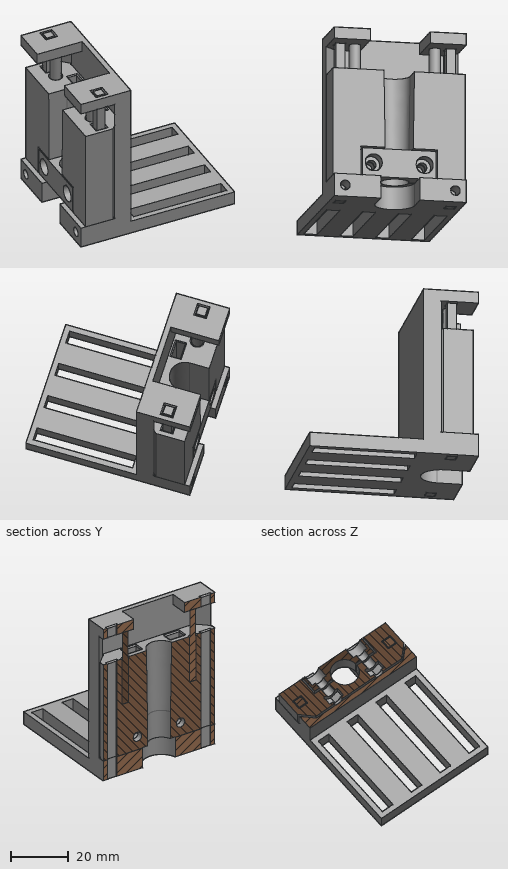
import cadquery as cq
import math

gap = 0.5

width = 46.75
depth = 59.35
height = 60.0
half_width = width / 2
plate_thickness = 5.0
ledge_height = 8.0
arm_thickness = 4.0
arm_underside = height - arm_thickness
arm_width = 12.8
wall_back = 19.3
wall_edge_front = 13.0
channel_floor = 17.35
channel_depth = channel_floor - wall_edge_front
ledge_slot_radius = 6.95

slot_count = 4
slot_width = 4.6
slot_margin = 2.05
slot_pitch = (width - 2 * slot_margin - slot_width) / (slot_count - 1)

carriage_front = 1.85
carriage_back = channel_floor - gap
carriage_side_back = wall_edge_front - gap * math.sqrt(2)
carriage_top = 45.95
tool_y = 8.95
tool_radius = 5.0
tool_top_radius = 5.4

clamp_half_width = 12.95
clamp_top = 18.0
clamp_gap = 0.6
pocket_top = clamp_top + clamp_gap
pocket_back = tool_y + clamp_gap / 2
clamp_back = pocket_back - clamp_gap
screw_x = 9.0
screw_z = ledge_height + 5.05
screw_diameter = 3.35
screw_head_diameter = 6.0
screw_head_depth = 4.2

nut_y = 14.15
nut_thickness = 3.2
nut_width = 5.9
nut_mouth_growth = 0.3

guide_y = 8.9
rod_x = 19.55
rod_size = 3.2
rod_hole_size = rod_size + gap
pin_x = 14.15
pin_diameter = 4.0
pin_socket_depth = 18.0
pin_bottom = carriage_top - pin_socket_depth
mouth_flare = 0.45

set_screw_x = 19.5
set_screw_z = 4.0
set_screw_diameter = 3.35

sides = (-1, 1)


def block(x_min, x_max, y_min, y_max, z_min, z_max):
    """Axis-aligned box between two corners."""
    size = (x_max - x_min, y_max - y_min, z_max - z_min)
    return cq.Workplane("XY").box(*size, centered=False).translate((x_min, y_min, z_min))


def upright_cylinder(x, y, diameter, z_min, z_max):
    return cq.Workplane("XY", origin=(x, y, z_min)).circle(diameter / 2).extrude(z_max - z_min)


def hole_along_y(x, z, diameter, y_min, y_max):
    """Cylinder whose axis runs along +Y."""
    plane = cq.Plane(origin=(x, y_min, z), xDir=(1, 0, 0), normal=(0, 1, 0))
    return cq.Workplane(plane).circle(diameter / 2).extrude(y_max - y_min)


def square_rod(x, size, z_min, z_max):
    return cq.Workplane("XY", origin=(x, guide_y, z_min)).rect(size, size).extrude(z_max - z_min)


def rectangular_mouth(x, y, lower_size, upper_size, z_top):
    """Flared opening that widens up to the face at z_top."""
    return (
        cq.Workplane("XY", origin=(x, y, z_top - mouth_flare))
        .rect(*lower_size)
        .workplane(offset=mouth_flare)
        .rect(*upper_size)
        .loft()
    )


def rod_hole(x, z_top):
    """Square through hole with a flared mouth at the top."""
    mouth_size = rod_hole_size + 2 * mouth_flare
    hole = square_rod(x, rod_hole_size, 0, z_top)
    mouth = rectangular_mouth(
        x, guide_y, (rod_hole_size, rod_hole_size), (mouth_size, mouth_size), z_top
    )
    return hole.union(mouth)


def pin_socket(x):
    """Close-fitting blind round hole in the carriage with a flared mouth at the top."""
    hole = upright_cylinder(x, guide_y, pin_diameter, pin_bottom, carriage_top)
    radius = pin_diameter / 2
    mouth = cq.Solid.makeCone(
        radius, radius + mouth_flare, mouth_flare, cq.Vector(x, guide_y, carriage_top - mouth_flare)
    )
    return hole.union(cq.Workplane(mouth))


def make_frame():
    frame = block(-half_width, half_width, 0, depth, 0, plate_thickness)
    frame = frame.union(block(-half_width, half_width, 0, wall_back, 0, ledge_height))

    floor_half_width = half_width - channel_depth
    wall_outline = [
        (-half_width, wall_back),
        (-half_width, wall_edge_front),
        (-floor_half_width, channel_floor),
        (floor_half_width, channel_floor),
        (half_width, wall_edge_front),
        (half_width, wall_back),
    ]
    frame = frame.union(cq.Workplane("XY").polyline(wall_outline).close().extrude(height))

    arm_inner_x = half_width - arm_width
    arm = block(arm_inner_x, half_width, 0, wall_back, arm_underside, height)
    frame = frame.union(arm).union(arm.mirror("YZ"))
    for side in sides:
        frame = frame.cut(rod_hole(side * rod_x, height))
        frame = frame.cut(
            hole_along_y(side * set_screw_x, set_screw_z, set_screw_diameter, 0, guide_y)
        )

    frame = frame.cut(block(-ledge_slot_radius, ledge_slot_radius, 0, tool_y, 0, ledge_height))
    frame = frame.cut(upright_cylinder(0, tool_y, 2 * ledge_slot_radius, 0, ledge_height))

    first_slot_x = -half_width + slot_margin
    for index in range(slot_count):
        x = first_slot_x + index * slot_pitch
        frame = frame.cut(
            block(x, x + slot_width, wall_back + slot_margin, depth - slot_margin, 0, plate_thickness)
        )
    return frame


def tool_channel():
    """Tool bore open to the front, straight beside the clamp and widening above it."""
    taper_height = carriage_top - pocket_top
    bore = upright_cylinder(0, tool_y, 2 * tool_radius, ledge_height, pocket_top)
    cone = cq.Solid.makeCone(
        tool_radius, tool_top_radius, taper_height, cq.Vector(0, tool_y, pocket_top)
    )
    opening_outline = [
        (-tool_radius, pocket_top),
        (tool_radius, pocket_top),
        (tool_top_radius, carriage_top),
        (-tool_top_radius, carriage_top),
    ]
    opening = cq.Workplane("XZ").polyline(opening_outline).close().extrude(-tool_y)
    return bore.union(cq.Workplane(cone)).union(opening)


def nut_slot(x):
    """Slot dropped from the carriage top to a hexagonal seat for the screw nut."""
    nut_front = nut_y - nut_thickness / 2
    nut_back = nut_y + nut_thickness / 2
    shaft = block(x - nut_width / 2, x + nut_width / 2, nut_front, nut_back, screw_z, carriage_top)
    plane = cq.Plane(origin=(x, nut_front, screw_z), xDir=(0, 0, 1), normal=(0, 1, 0))
    corner_diameter = nut_width / math.cos(math.pi / 6)
    seat = cq.Workplane(plane).polygon(6, corner_diameter).extrude(nut_thickness)
    mouth = rectangular_mouth(
        x,
        nut_y,
        (nut_width, nut_thickness),
        (nut_width + 2 * nut_mouth_growth, nut_thickness + 2 * mouth_flare),
        carriage_top,
    )
    return shaft.union(seat).union(mouth)


def make_carriage():
    back_half_width = half_width - (carriage_back - carriage_side_back)
    outline = [
        (-half_width, carriage_front),
        (half_width, carriage_front),
        (half_width, carriage_side_back),
        (back_half_width, carriage_back),
        (-back_half_width, carriage_back),
        (-half_width, carriage_side_back),
    ]
    carriage = (
        cq.Workplane("XY", origin=(0, 0, ledge_height))
        .polyline(outline)
        .close()
        .extrude(carriage_top - ledge_height)
    )
    pocket_half_width = clamp_half_width + clamp_gap
    clamp_pocket = block(
        -pocket_half_width, pocket_half_width, carriage_front, pocket_back, ledge_height, pocket_top
    )
    carriage = carriage.cut(clamp_pocket).cut(tool_channel())
    for side in sides:
        carriage = carriage.cut(rod_hole(side * rod_x, carriage_top))
        carriage = carriage.cut(pin_socket(side * pin_x))
        carriage = carriage.cut(nut_slot(side * screw_x))
        carriage = carriage.cut(
            hole_along_y(side * screw_x, screw_z, screw_diameter, pocket_back, carriage_back)
        )
    return carriage


def make_clamp():
    clamp = block(
        -clamp_half_width, clamp_half_width, carriage_front, clamp_back, ledge_height, clamp_top
    )
    clamp = clamp.cut(upright_cylinder(0, tool_y, 2 * tool_radius, ledge_height, clamp_top))
    head_bottom = carriage_front + screw_head_depth
    for side in sides:
        x = side * screw_x
        clamp = clamp.cut(hole_along_y(x, screw_z, screw_diameter, carriage_front, clamp_back))
        clamp = clamp.cut(hole_along_y(x, screw_z, screw_head_diameter, carriage_front, head_bottom))
    return clamp


def make_rod(x):
    """Square rod through the whole height of the frame."""
    return square_rod(x, rod_size, 0, height)


def make_pin(x):
    """Round pin standing between its carriage socket and the arm."""
    return upright_cylinder(x, guide_y, pin_diameter, pin_bottom, arm_underside)


frame = make_frame()
carriage = make_carriage()
clamp = make_clamp()
rods = [make_rod(side * rod_x).val() for side in sides]
pins = [make_pin(side * pin_x).val() for side in sides]

result = cq.Compound.makeCompound([frame.val(), carriage.val(), clamp.val(), *rods, *pins])